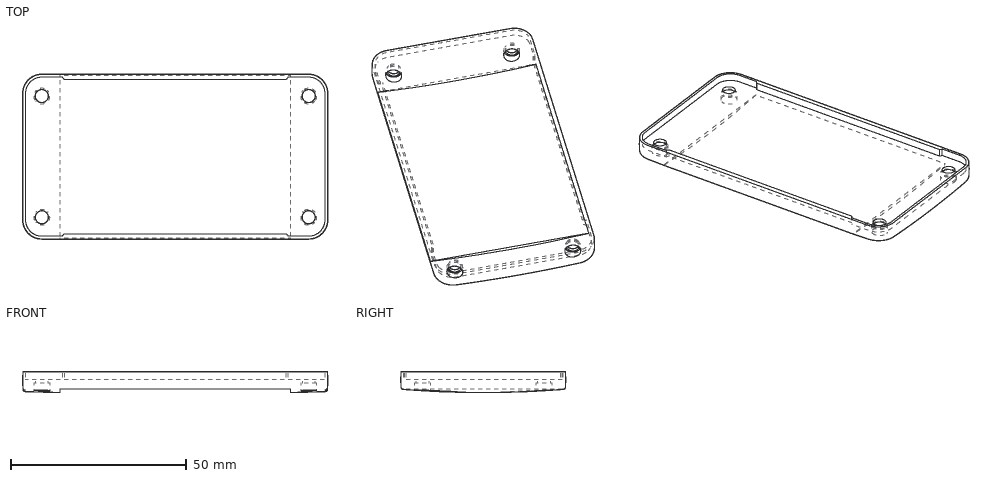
import cadquery as cq
import math

length = 87.0
width = 47.1
total_height = 6.0
corner_radius = 5.5

rim_height = 2.2
rim_wall = 0.9
draft_inset = 0.105
rib_thickness = 1.6
rib_half_length = 32.1
rib_end_chamfer = 0.5

base_depth = total_height - rim_height
edge_depth = 2.9
end_drop = 0.3
bottom_edge_radius = 0.8
recess_half_length = 32.8
recess_depth = 2.8
crease_tolerance = 0.1

hole_diameter = 3.65
hole_inset_x = 5.5
hole_inset_y = 6.3
counterbore_diameter = 4.5
hole_seat_thickness = 1.05


def rounded_block(size_x, size_y, radius, height, taper=0):
    """Rounded rectangle extruded from the parting plane; negative height goes down."""
    outline = cq.Sketch().rect(size_x, size_y).vertices().fillet(radius)
    return cq.Workplane("XY").placeSketch(outline).extrude(height, taper=taper)


def crown_prism():
    """Prism along X, longer than the part, with an arched underside."""
    half_width = width / 2
    return (
        cq.Workplane("YZ")
        .moveTo(-half_width, base_depth)
        .lineTo(-half_width, -edge_depth)
        .threePointArc((0, -base_depth), (half_width, -edge_depth))
        .lineTo(half_width, base_depth)
        .close()
        .extrude(length, both=True)
    )


def crown_envelope():
    """Arched prism whose underside climbs slightly towards each end of the part."""
    prism = crown_prism()
    envelope = prism
    tilt = math.degrees(math.atan(end_drop / (length / 2 - recess_half_length)))
    for end in (-1, 1):
        pivot_x = end * recess_half_length
        tilted = prism.rotate((pivot_x, 0, -base_depth), (pivot_x, 1, -base_depth), -end * tilt)
        envelope = envelope.intersect(tilted)
    return envelope


def base():
    """Lower half: drafted sides, crowned bottom with a rounded edge, recessed middle."""
    draft_angle = math.degrees(math.atan(draft_inset / base_depth))
    spare_depth = 2 * base_depth
    body = rounded_block(length, width, corner_radius, -spare_depth, draft_angle)
    body = body.intersect(crown_envelope())
    underside = body.faces("%CYLINDER")
    rounded = [
        edge
        for edge in underside.edges().vals()
        if abs(abs(edge.Center().x) - recess_half_length) > crease_tolerance
    ]
    body = body.newObject(rounded).fillet(bottom_edge_radius)
    recess = (
        cq.Workplane("XY")
        .workplane(offset=-recess_depth)
        .rect(2 * recess_half_length, 2 * width)
        .extrude(-spare_depth)
    )
    return body.cut(recess)


def rim():
    """Drafted wall around the flat floor."""
    draft_angle = math.degrees(math.atan(draft_inset / rim_height))
    outer = rounded_block(length, width, corner_radius, rim_height, draft_angle)
    inner = rounded_block(
        length - 2 * rim_wall, width - 2 * rim_wall, corner_radius - rim_wall, rim_height
    )
    return outer.cut(inner)


def rib(side):
    """Thickening along one long wall, with chamfered ends; side is +1 or -1 in Y."""
    outer_y = width / 2 - rim_wall / 2
    inner_y = width / 2 - rib_thickness
    shoulder_y = inner_y + rib_end_chamfer
    tip_x = rib_half_length - rib_end_chamfer
    outline = [
        (-rib_half_length, side * outer_y),
        (-rib_half_length, side * shoulder_y),
        (-tip_x, side * inner_y),
        (tip_x, side * inner_y),
        (rib_half_length, side * shoulder_y),
        (rib_half_length, side * outer_y),
    ]
    return cq.Workplane("XY").polyline(outline).close().extrude(rim_height)


def stepped_hole_cutter(x, y):
    """Cutter for one through hole counterbored from below."""
    hole = cq.Workplane("XY").center(x, y).circle(hole_diameter / 2).extrude(-base_depth)
    seat = cq.Workplane("XY").workplane(offset=-hole_seat_thickness).center(x, y)
    return hole.union(seat.circle(counterbore_diameter / 2).extrude(-base_depth))


result = base().union(rim())
for side in (-1, 1):
    result = result.union(rib(side))
for x_side in (-1, 1):
    for y_side in (-1, 1):
        hole_x = x_side * (length / 2 - hole_inset_x)
        hole_y = y_side * (width / 2 - hole_inset_y)
        result = result.cut(stepped_hole_cutter(hole_x, hole_y))